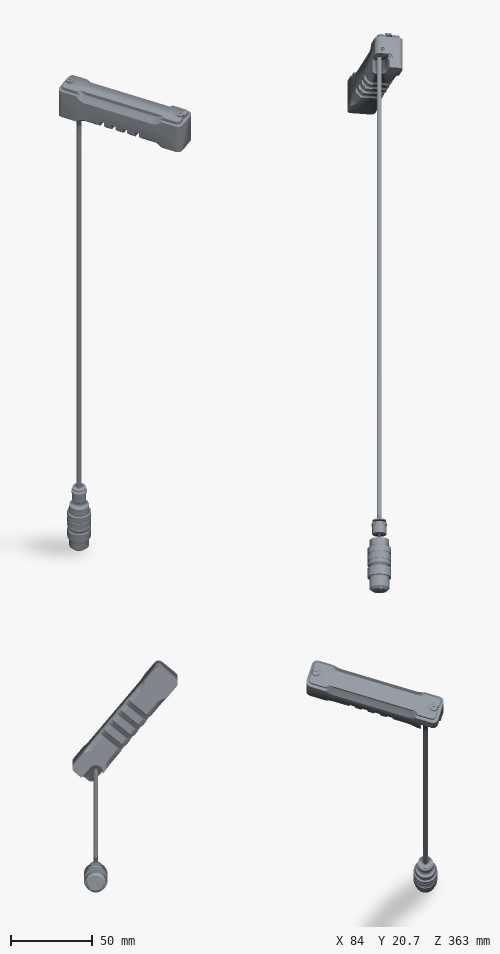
import cadquery as cq
import math


total_height = 363
housing_length = 84.0
total_width = 20.7

housing_width = 17.5
body_height = 19.5
body_corner_radius = 3.3
lid_height = 2.0
lid_inset = 1.8
lid_corner_radius = 2.0

screw_diameter = 4.0
screw_head_height = 1.5
screw_socket_diameter = 2.0
screw_socket_depth = 1.0
screw_shank_diameter = 2.45
screw_notch_width = 3.3
screw_end_distance = 4.5

upper_scoop_depth = 3.5
lower_scoop_depth = 3.0
scoop_inset = 3.5
scoop_floor_length = 45.7
scoop_mouth_length = 58

slot_count = 4
slot_pitch = 8.0
slot_width = 3.5
slot_depth = 5.5

plug_diameter = 14.5
cable_diameter = 3.0
cable_end_distance = 8.5
notch_width = 8.7
notch_height = 8.7

socket_depth = 1.0
large_socket_diameter = 4.0
large_socket_hole_diameter = 2.0
large_socket_y = 0.5
large_socket_height = 7.0
small_socket_diameter = 3.1
small_socket_hole_diameter = 1.55
small_socket_height = 11.2

key_diameter = 1.0
key_length = 1.0
key_offset = 5.0
nose_diameter = 12.5
nose_length = 8.5
nose_chamfer = 1.5
lower_ring_length = 5.8
waist_diameter = 12.5
waist_length = 1.0
grip_length = 12.0
grip_chamfer = 1.0
grip_groove_count = 2
grip_groove_width = 1.0
grip_groove_depth = 0.5
grip_groove_spacing = 4.7
shoulder_length = 5.5
shoulder_bottom_diameter = 12.5
shoulder_top_diameter = 12.0
neck_gap = 4.0
neck_diameter = 8.7
neck_length = 5.5
collar_diameter = 9.5
collar_length = 1.5
washer_gap = 1.5
washer_diameter = 8.5
washer_thickness = 0.7
core_diameter = 0.98

body_top = total_height - screw_head_height - lid_height
body_bottom = body_top - body_height
lid_top = body_top + lid_height
end_face_x = -housing_length / 2
cable_x = end_face_x + cable_end_distance
cable_y = total_width - housing_width / 2 - plug_diameter / 2
notch_top = body_bottom + notch_height


def cylinder(diameter, length, x, y, z):
    """Upright cylinder standing on height z."""
    return cq.Workplane("XY", origin=(x, y, z)).circle(diameter / 2).extrude(length)


def rounded_block(length, width, height, corner_radius, z):
    block = cq.Workplane("XY", origin=(0, 0, z)).rect(length, width).extrude(height)
    return block.edges("|Z").fillet(corner_radius)


def scoop_cutter(depth):
    """Cutter for the upper -Y edge: a trough rising inwards at 45 degrees to an upright back wall."""
    floor_end = scoop_floor_length / 2
    mouth_end = scoop_mouth_length / 2
    run = mouth_end - floor_end
    arc_radius = (run**2 + depth**2) / (2 * depth)
    middle_run = run / 2
    middle_rise = arc_radius - math.sqrt(arc_radius**2 - middle_run**2)
    front_y = -housing_width / 2
    trough = (
        cq.Workplane("XZ", origin=(0, front_y, body_top - depth))
        .moveTo(-floor_end, 0)
        .lineTo(floor_end, 0)
        .threePointArc((floor_end + middle_run, middle_rise), (mouth_end, depth))
        .lineTo(mouth_end, depth + lid_height)
        .lineTo(-mouth_end, depth + lid_height)
        .lineTo(-mouth_end, depth)
        .threePointArc((-floor_end - middle_run, middle_rise), (-floor_end, 0))
        .close()
    )
    face = cq.Face.makeFromWires(trough.val())
    return cq.Workplane(cq.Solid.extrudeLinear(face, cq.Vector(0, scoop_inset, scoop_inset)))


def lid_screw_notch(side):
    """Slot through the lid, open to its end, that leaves the screw shank visible."""
    screw_x = side * (housing_length / 2 - screw_end_distance)
    notch_centre_x = screw_x + side * screw_end_distance / 2
    end_slot = (
        cq.Workplane("XY", origin=(notch_centre_x, 0, body_top))
        .rect(screw_end_distance, screw_notch_width)
        .extrude(lid_height)
    )
    return end_slot.union(cylinder(screw_notch_width, lid_height, screw_x, 0, body_top))


def lid_screw(side):
    screw_x = side * (housing_length / 2 - screw_end_distance)
    socket_bottom = total_height - screw_socket_depth
    shank = cylinder(screw_shank_diameter, lid_height, screw_x, 0, body_top)
    screw = shank.union(cylinder(screw_diameter, screw_head_height, screw_x, 0, lid_top))
    return screw.cut(cylinder(screw_socket_diameter, screw_socket_depth, screw_x, 0, socket_bottom))


def housing():
    head = rounded_block(housing_length, housing_width, body_height, body_corner_radius, body_bottom)
    lid = rounded_block(
        housing_length - 2 * lid_inset,
        housing_width - 2 * lid_inset,
        lid_height,
        lid_corner_radius,
        body_top,
    )
    head = head.union(lid)

    upper_scoop = scoop_cutter(upper_scoop_depth)
    body_middle = (0, 0, body_bottom + body_height / 2)
    lower_scoop = scoop_cutter(lower_scoop_depth).mirror("XY", body_middle)
    for cutter in (upper_scoop, lower_scoop):
        head = head.cut(cutter).cut(cutter.mirror("XZ"))

    for side in (-1, 1):
        head = head.cut(lid_screw_notch(side)).union(lid_screw(side))
    return head


def cooling_slots():
    return (
        cq.Workplane("XY", origin=(0, 0, body_bottom))
        .rarray(slot_pitch, 3.5, slot_count, 1)
        .rect(slot_width, housing_width)
        .extrude(slot_depth)
    )


def cable_notch():
    """U-shaped notch, open to the -X end and downwards, round about the cable axis."""
    channel = cq.Workplane("XY").box(
        cable_end_distance, notch_width, notch_height, centered=(False, True, False)
    )
    channel = channel.translate((end_face_x, cable_y, body_bottom))
    return channel.union(cylinder(notch_width, notch_height, cable_x, cable_y, body_bottom))


def end_socket(diameter, hole_diameter, y, height):
    end_plane = cq.Workplane("YZ", origin=(end_face_x, y, body_bottom + height))
    counterbore = end_plane.circle(diameter / 2).extrude(socket_depth)
    hole = end_plane.circle(hole_diameter / 2).extrude(2 * socket_depth)
    return counterbore.union(hole)


def plug_and_cable():
    """Cable line from the key at the plug's lower end up to the roof of the notch."""
    z = key_length
    parts = cylinder(key_diameter, 2 * key_length, cable_x - key_offset, cable_y, 0)

    def stack(diameter, length, base):
        return cylinder(diameter, length, cable_x, cable_y, base)

    nose = stack(nose_diameter, nose_length, z)
    parts = parts.union(nose.faces("<Z").chamfer(nose_chamfer))
    z += nose_length

    parts = parts.union(stack(plug_diameter, lower_ring_length, z))
    z += lower_ring_length

    parts = parts.union(stack(waist_diameter, waist_length, z))
    z += waist_length

    grip = stack(plug_diameter, grip_length, z).faces("<Z").chamfer(grip_chamfer)
    grip_top = z + grip_length
    groove_floor = plug_diameter - 2 * grip_groove_depth
    for number in range(1, grip_groove_count + 1):
        groove_z = grip_top - number * grip_groove_spacing
        groove = stack(plug_diameter, grip_groove_width, groove_z)
        grip = grip.cut(groove.cut(stack(groove_floor, grip_groove_width, groove_z)))
    parts = parts.union(grip)
    z = grip_top

    shoulder = (
        cq.Workplane("XY", origin=(cable_x, cable_y, z))
        .circle(shoulder_bottom_diameter / 2)
        .workplane(offset=shoulder_length)
        .circle(shoulder_top_diameter / 2)
        .loft()
    )
    parts = parts.union(shoulder)
    z += shoulder_length
    core_bottom = z

    z += neck_gap
    parts = parts.union(stack(neck_diameter, neck_length, z))
    z += neck_length
    parts = parts.union(stack(collar_diameter, collar_length, z))
    z += collar_length + washer_gap
    parts = parts.union(stack(washer_diameter, washer_thickness, z))

    parts = parts.union(stack(core_diameter, z - core_bottom, core_bottom))
    return parts.union(stack(cable_diameter, notch_top - z, z))


large_socket = end_socket(
    large_socket_diameter, large_socket_hole_diameter, large_socket_y, large_socket_height
)
small_socket = end_socket(
    small_socket_diameter, small_socket_hole_diameter, cable_y, small_socket_height
)
head = housing().cut(cooling_slots()).cut(cable_notch()).cut(large_socket).cut(small_socket)

result = head.union(plug_and_cable())